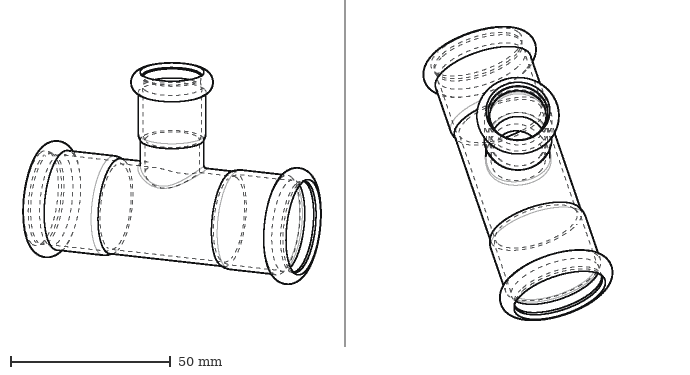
import cadquery as cq

run_half_length = 44.1
branch_height = 45.95
wall = 1.5

flare_depth = 1.3
lip_clearance = 0.22
seal_half_width = 1.5
seal_height = 0.5
land_length = 0.9
land_taper = 0.8
shoulder_bulge = 0.3

run_tube_radius = 15.0
run_socket_radius = 15.7
run_bead_radius = 18.35
run_bead_width = 7.2
run_socket_depth = 22.9
run_neck_depth = 25.05

branch_tube_radius = 10.01
branch_socket_radius = 10.63
branch_bead_radius = 12.9
branch_bead_width = 6.5
branch_socket_depth = 20.2
branch_neck_depth = 22.05

joint_fillet = 0.9


def neck(profile, start_radius, end_radius, start, end):
    """Round the shoulder from the socket down to the tube."""
    drop = start_radius - end_radius
    middle = (start_radius - shoulder_bulge * drop, (start + end) / 2)
    return profile.threePointArc(middle, (end_radius, end))


def outer_body(tube, socket, bead, bead_width, socket_depth, neck_depth, length):
    """Revolved outer body; radius is local X, depth from the mouth is local Y.

    The bead starts at the mouth edge, whose radius equals the tube radius.
    """
    profile = (
        cq.Workplane("XY")
        .lineTo(tube, 0)
        .threePointArc((bead, bead_width / 2), (socket, bead_width))
        .lineTo(socket, socket_depth)
    )
    profile = neck(profile, socket, tube, socket_depth, neck_depth)
    return revolve(profile.lineTo(tube, length).lineTo(0, length))


def inner_cavity(tube, socket, bead_width, socket_depth, neck_depth, length):
    """Revolved cavity: flared mouth, lip, inward seal bulge, land, socket and tube bore."""
    bore = tube - wall
    socket_bore = socket - wall
    lip = socket_bore + lip_clearance
    crest = lip - seal_height
    seal_middle = bead_width / 2
    seal_start = seal_middle - seal_half_width
    seal_end = seal_middle + seal_half_width
    land_end = seal_end + land_length

    profile = (
        cq.Workplane("XY")
        .lineTo(tube, 0)
        .lineTo(lip, flare_depth)
        .lineTo(lip, seal_start)
        .threePointArc((crest, seal_middle), (lip, seal_end))
        .lineTo(lip, land_end)
        .lineTo(socket_bore, land_end + land_taper)
        .lineTo(socket_bore, socket_depth)
    )
    profile = neck(profile, socket_bore, bore, socket_depth, neck_depth)
    return revolve(profile.lineTo(bore, length).lineTo(0, length))


def revolve(profile):
    return profile.close().revolve(360, (0, 0), (0, 1))


def place_on_run(body):
    """Put the mouth at the -X end and mirror it to the +X end."""
    left = body.rotate((0, 0, 0), (0, 0, 1), -90).translate((-run_half_length, 0, 0))
    return left.union(left.mirror("YZ"))


def place_on_branch(body):
    """Put the mouth at the top with its depth pointing down."""
    return body.rotate((0, 0, 0), (1, 0, 0), -90).translate((0, 0, branch_height))


run_body = place_on_run(outer_body(
    run_tube_radius, run_socket_radius, run_bead_radius, run_bead_width,
    run_socket_depth, run_neck_depth, run_half_length,
))
branch_body = place_on_branch(outer_body(
    branch_tube_radius, branch_socket_radius, branch_bead_radius, branch_bead_width,
    branch_socket_depth, branch_neck_depth, branch_height,
))
body = run_body.union(branch_body)

joint_zone = cq.selectors.BoxSelector(
    (-run_tube_radius, -run_tube_radius, 0.9),
    (run_tube_radius, run_tube_radius, run_tube_radius + 0.9),
)
saddle = body.edges(joint_zone).edges("not %LINE").edges("not %CIRCLE")
body = saddle.fillet(joint_fillet)

run_cavity = place_on_run(inner_cavity(
    run_tube_radius, run_socket_radius, run_bead_width,
    run_socket_depth, run_neck_depth, run_half_length,
))
branch_cavity = place_on_branch(inner_cavity(
    branch_tube_radius, branch_socket_radius, branch_bead_width,
    branch_socket_depth, branch_neck_depth, branch_height,
))
result = body.cut(run_cavity).cut(branch_cavity)